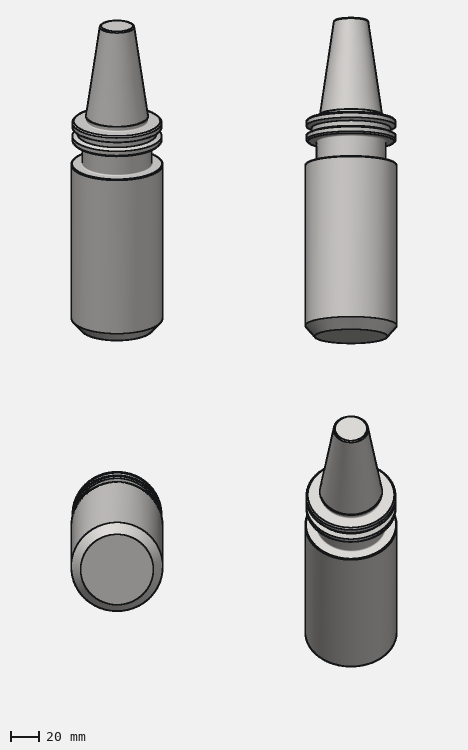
import cadquery as cq

total_height = 228.5
body_top = 124.2
flange_bottom = 141.0
flange_top = 156.5
gauge_plane = 160.0
groove_center = 148.7

body_radius = 32.55
nose_radius = 25.8
neck_radius = 24.7
flange_radius = 31.7
groove_radius = 28.0
relief_radius = 21.5
taper_large_radius = 22.2

nose_height = 7.8
body_chamfer = 0.7
flange_chamfer = 1.1
corner_fillet = 1.0
tip_chamfer = 1.0
groove_mouth_width = 6.9
groove_floor_width = 3.7
taper_per_length = 7 / 24


def revolve_profile(points):
    """Revolve a radius-height outline about the Z axis."""
    return cq.Workplane("XZ").polyline(points).close().revolve(360, (0, 0, 0), (0, 1, 0))


def make_body():
    """Cylindrical body with a conical nose and a small top chamfer."""
    return revolve_profile([
        (0, 0),
        (nose_radius, 0),
        (body_radius, nose_height),
        (body_radius, body_top - body_chamfer),
        (body_radius - body_chamfer, body_top),
        (0, body_top),
    ])


def make_neck():
    """Plain cylinder joining the body to the flange."""
    base = cq.Workplane("XY").workplane(offset=body_top)
    return base.circle(neck_radius).extrude(flange_bottom - body_top)


def make_flange():
    """Gripper flange with chamfered rims and a tapered groove around it."""
    mouth = groove_mouth_width / 2
    floor = groove_floor_width / 2
    return revolve_profile([
        (0, flange_bottom),
        (flange_radius - flange_chamfer, flange_bottom),
        (flange_radius, flange_bottom + flange_chamfer),
        (flange_radius, groove_center - mouth),
        (groove_radius, groove_center - floor),
        (groove_radius, groove_center + floor),
        (flange_radius, groove_center + mouth),
        (flange_radius, flange_top - flange_chamfer),
        (flange_radius - flange_chamfer, flange_top),
        (0, flange_top),
    ])


def make_shank():
    """Steep taper with a chamfered tip, above a filleted relief."""
    tip_radius = taper_large_radius - (total_height - gauge_plane) * taper_per_length / 2
    taper = revolve_profile([
        (0, gauge_plane),
        (taper_large_radius, gauge_plane),
        (tip_radius, total_height),
        (0, total_height),
    ]).faces(">Z").chamfer(tip_chamfer)
    relief = cq.Workplane("XY").workplane(offset=flange_top).circle(relief_radius)
    return taper.union(relief.extrude(gauge_plane - flange_top))


def round_inside_corner(part, radius, height):
    """Fillet the circular inside corner of the given radius and height."""
    reach = radius + 1.1
    margin = 0.2
    corner = cq.selectors.BoxSelector(
        (-reach, -reach, height - margin),
        (reach, reach, height + margin),
        boundingbox=True,
    )
    return part.edges(corner).fillet(corner_fillet)


result = make_body().union(make_neck()).union(make_flange()).union(make_shank())
result = round_inside_corner(result, neck_radius, body_top)
result = round_inside_corner(result, neck_radius, flange_bottom)
result = round_inside_corner(result, relief_radius, flange_top)